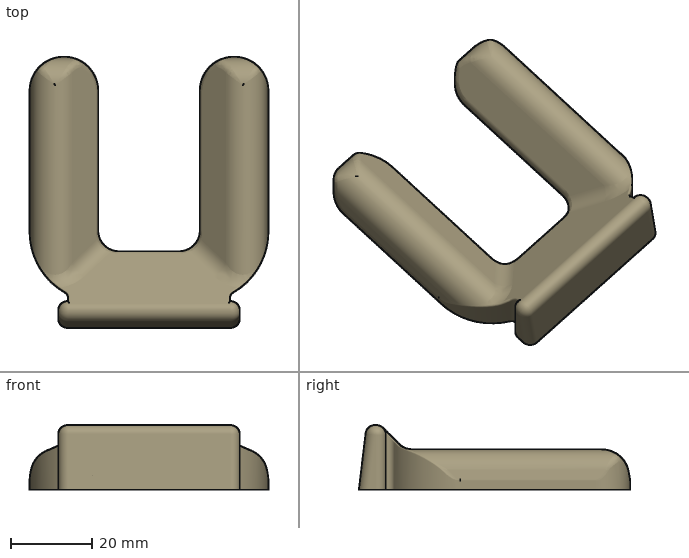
import cadquery as cq
import math

half_width = 29.5
length = 67.0
lip_height = 16.0

notch_half_width = 12.5
notch_depth_y = 19.0
notch_corner_radius = 5.0
bend_radius = 17.5
bend_start_y = 23.9
neck_half_width = 20.0
neck_corner_radius = 1.5
bend_center_x = half_width - bend_radius
tip_radius = (half_width - notch_half_width) / 2
tip_center_x = (half_width + notch_half_width) / 2
tip_center_y = length - tip_radius

lip_half_length = 22.45
lip_thickness = 6.7
lip_draft = 6.8
lip_round = 2.4

arm_slope = 43.0
side_draft = 10.0
draft_start_z = 2.4
crest_radius = 6.0
tip_crest_radius = 6.8
valley_radius = 4.5
inner_rim_radius = 2.0
outer_rim_radius = 0.4
rim_split_y = 25.0
mitre_radius = 2.0

web_tangent_y = lip_thickness - lip_round * (1 - math.sqrt(0.5))
web_tangent_z = lip_height - lip_round * (1 - math.sqrt(0.5))
web_level = web_tangent_y + web_tangent_z
rim_z = web_level - notch_depth_y

margin = 20.0
stock_base_z = -3.0


def tan_deg(angle):
    return math.tan(math.radians(angle))


def arm_corner():
    """|x| and z where the inner and outer faces of an arm would meet without the crest round."""
    inner_rise = tan_deg(arm_slope)
    outer_rise = 1 / tan_deg(side_draft)
    corner_x = (inner_rise * notch_half_width + outer_rise * half_width + draft_start_z - rim_z) / (
        inner_rise + outer_rise
    )
    return corner_x, rim_z + inner_rise * (corner_x - notch_half_width)


def crest_center_z():
    """Height of the crest round's axis, which lies on the bisector of the two arm faces."""
    corner_z = arm_corner()[1]
    outer_face_angle = 90.0 - side_draft
    half_opening = (180.0 - arm_slope - outer_face_angle) / 2
    bisector_angle = math.radians(arm_slope + half_opening)
    return corner_z - crest_radius / math.sin(math.radians(half_opening)) * math.sin(bisector_angle)


def plan_outline():
    """Outline of the fork seen along Z, extruded to full height."""
    bend_end_y = bend_start_y - math.sqrt(bend_radius**2 - (neck_half_width - bend_center_x) ** 2)
    mid_angle = math.asin((bend_start_y - bend_end_y) / bend_radius) / 2
    bend_mid = (
        bend_center_x + bend_radius * math.cos(mid_angle),
        bend_start_y - bend_radius * math.sin(mid_angle),
    )
    neck_base_y = lip_thickness / 2
    outline = (
        cq.Workplane("XY")
        .moveTo(-neck_half_width, neck_base_y)
        .lineTo(neck_half_width, neck_base_y)
        .lineTo(neck_half_width, bend_end_y)
        .threePointArc(bend_mid, (half_width, bend_start_y))
        .lineTo(half_width, tip_center_y)
        .threePointArc((tip_center_x, length), (notch_half_width, tip_center_y))
        .lineTo(notch_half_width, notch_depth_y)
        .lineTo(-notch_half_width, notch_depth_y)
        .lineTo(-notch_half_width, tip_center_y)
        .threePointArc((-tip_center_x, length), (-half_width, tip_center_y))
        .lineTo(-half_width, bend_start_y)
        .threePointArc((-bend_mid[0], bend_mid[1]), (-neck_half_width, bend_end_y))
        .close()
        .extrude(lip_height)
    )

    def corners(x, y):
        return cq.selectors.BoxSelector((x - 1, y - 1, -1), (x + 1, y + 1, lip_height + 1))

    for side in (-1, 1):
        outline = outline.edges(corners(side * notch_half_width, notch_depth_y)).fillet(notch_corner_radius)
        outline = outline.edges(corners(side * neck_half_width, bend_end_y)).fillet(neck_corner_radius)
    return outline


def arm_ridge(side):
    """Ridge of one arm: sloped inner face, drafted outer face and a round crest."""
    peak_x, peak_z = arm_corner()
    foot_x = notch_half_width - (rim_z - stock_base_z) / tan_deg(arm_slope)
    outer_x = half_width + (draft_start_z - stock_base_z) * tan_deg(side_draft)
    peak_edge = cq.selectors.BoxSelector(
        (side * peak_x - 1, -margin, peak_z - 1),
        (side * peak_x + 1, length + margin, peak_z + 1),
    )
    return (
        cq.Workplane("XZ")
        .polyline([(side * foot_x, stock_base_z), (side * outer_x, stock_base_z), (side * peak_x, peak_z)])
        .close()
        .extrude(-(length + margin))
        .edges(peak_edge)
        .fillet(crest_radius)
    )


def tip_profile():
    """Side profile that drafts and rounds the arm tips."""
    draft = math.radians(side_draft)
    outer_y = length + (draft_start_z - stock_base_z) * math.tan(draft)
    axis_z = crest_center_z() + crest_radius - tip_crest_radius
    axis_y = length + (draft_start_z - axis_z) * math.tan(draft) - tip_crest_radius / math.cos(draft)

    def on_round(angle):
        return axis_y + tip_crest_radius * math.cos(angle), axis_z + tip_crest_radius * math.sin(angle)

    return (
        cq.Workplane("YZ")
        .moveTo(0, stock_base_z)
        .lineTo(outer_y, stock_base_z)
        .lineTo(*on_round(draft))
        .threePointArc(on_round(math.pi / 4), on_round(math.pi / 2))
        .lineTo(axis_y, lip_height)
        .lineTo(0, lip_height)
        .close()
        .extrude(half_width + margin, both=True)
    )


def web():
    """Wedge that falls at 45 degrees from the lip into the notch."""
    foot_y = web_level - stock_base_z
    return (
        cq.Workplane("YZ")
        .polyline(
            [
                (lip_round, stock_base_z),
                (foot_y, stock_base_z),
                (web_tangent_y, web_tangent_z),
                (lip_round, web_tangent_z),
            ]
        )
        .close()
        .extrude(half_width + margin, both=True)
    )


def arm(side):
    """Arm ridge with a rounded tip, its mitred crest edges softened."""
    mitre_zone = cq.selectors.BoxSelector(
        (-half_width, tip_center_y, crest_center_z() + crest_radius * math.sqrt(0.5)),
        (half_width, length, lip_height),
    )
    return arm_ridge(side).intersect(tip_profile()).edges(mitre_zone).fillet(mitre_radius)


def fork():
    """Arms joined to the web through concave valleys, trimmed to the plan outline."""
    body = web()
    for side in (-1, 1):
        body = body.union(arm(side))
    valley_far_y = web_level - stock_base_z - 0.1
    for side in (-1, 1):
        xs = sorted((side * 5.0, side * (half_width + 1)))
        valley = cq.selectors.BoxSelector(
            (xs[0], web_tangent_y + 2, stock_base_z + 0.1), (xs[1], valley_far_y, lip_height)
        )
        body = body.edges(valley).fillet(valley_radius)
    return body.intersect(plan_outline())


def round_rims(body):
    """Round the upper rim: finely around the outer bends, fully along the inner wall and the tips."""
    split_box = cq.Workplane("XY").box(
        2 * (half_width + margin), rim_split_y, lip_height + margin, centered=(True, False, True)
    ).translate((0, 0, lip_height / 2))
    front = body.intersect(split_box)
    back = body.cut(split_box)

    def nearest(x, y, z):
        return cq.selectors.NearestToPointSelector((x, y, z))

    front = front.edges(nearest(0, notch_depth_y, rim_z)).fillet(inner_rim_radius)
    bend_x = bend_center_x + bend_radius * math.cos(math.pi / 6)
    bend_y = bend_start_y - bend_radius * math.sin(math.pi / 6)
    arm_y = (rim_split_y + tip_center_y) / 2
    for side in (-1, 1):
        front = front.edges(nearest(side * bend_x, bend_y, draft_start_z + crest_radius)).fillet(outer_rim_radius)
        back = back.edges(nearest(side * notch_half_width, arm_y, rim_z)).fillet(inner_rim_radius)
    return front.union(back)


def lip():
    """Raised lip with a drafted front face, rounded ends and a rounded top."""
    front_top_y = lip_height * tan_deg(lip_draft)
    return (
        cq.Workplane("YZ")
        .polyline([(0, 0), (lip_thickness, 0), (lip_thickness, lip_height), (front_top_y, lip_height)])
        .close()
        .extrude(lip_half_length, both=True)
        .edges("(#Z or |Z or >X or <X or >Z) and (not <Z)")
        .fillet(lip_round)
    )


result = round_rims(fork()).union(lip())